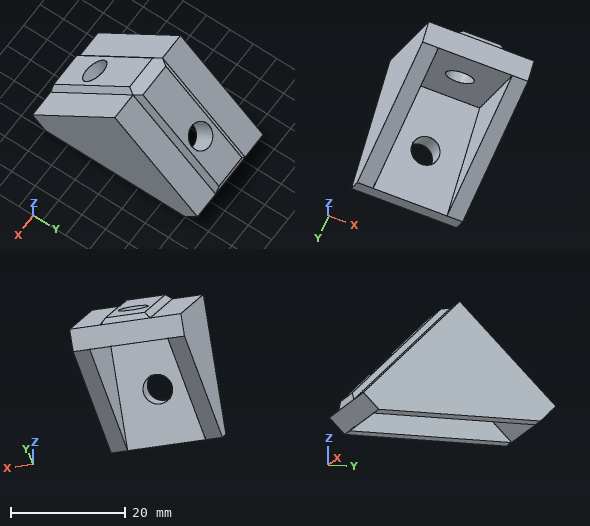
import cadquery as cq
import math

width = 20.0
length = 35.35
height = 20.5

half_length = length / 2
shoulder_height = height - half_length
bottom_half = half_length - shoulder_height

web_thickness = 3.0
cavity_width = width - 2 * web_thickness

tongue_base_width = 8.98
tongue_rise = 1.4
tongue_depth = tongue_rise / math.sqrt(2)
tongue_top_width = tongue_base_width - 2 * tongue_depth

hole_diameter = 5.2
hole_offset = 11.3
leg_thickness = shoulder_height * math.sqrt(2)
hole_length = tongue_depth + 1.5 * leg_thickness
hole_height = height + tongue_rise - hole_offset


def make_body():
    """Triangular block with its two lower corners cut at 45 degrees."""
    outline = [
        (-bottom_half, 0),
        (bottom_half, 0),
        (half_length, shoulder_height),
        (0, height),
        (-half_length, shoulder_height),
    ]
    return cq.Workplane("YZ").polyline(outline).close().extrude(width / 2, both=True)


def make_cavity():
    """Triangular hollow whose 45-degree roof leaves legs as thick as the cut corners are wide."""
    outline = [(-bottom_half, 0), (bottom_half, 0), (0, bottom_half)]
    return cq.Workplane("YZ").polyline(outline).close().extrude(cavity_width / 2, both=True)


def make_tongue(side):
    """Tapered tongue on one mounting face, running past both of its ends."""
    along_slope = (0, side, -1)
    outward = (0, side, 1)
    face_plane = cq.Plane(origin=(0, 0, height), xDir=(1, 0, 0), normal=along_slope)
    rise = tongue_depth if face_plane.yDir.dot(cq.Vector(*outward)) > 0 else -tongue_depth
    profile = [
        (-tongue_base_width / 2, 0),
        (tongue_base_width / 2, 0),
        (tongue_top_width / 2, rise),
        (-tongue_top_width / 2, rise),
    ]
    return cq.Workplane(face_plane).polyline(profile).close().extrude(length, both=True)


def make_hole(side):
    """Hole through one tongue and its leg, square to the face, opening into the cavity."""
    inward = (0, -side, -1)
    hole_plane = cq.Plane(origin=(0, side * hole_offset, hole_height), xDir=(1, 0, 0), normal=inward)
    return cq.Workplane(hole_plane).circle(hole_diameter / 2).extrude(hole_length)


def make_half_envelope(side):
    """Box bounding one half of the part, where the tongue on that side ends flush."""
    box = cq.Workplane("XY").box(width, half_length, height, centered=(True, True, False))
    return box.translate((0, side * half_length / 2, 0))


result = make_body().cut(make_cavity())
for side in (-1, 1):
    result = result.union(make_tongue(side).intersect(make_half_envelope(side)))
for side in (-1, 1):
    result = result.cut(make_hole(side))